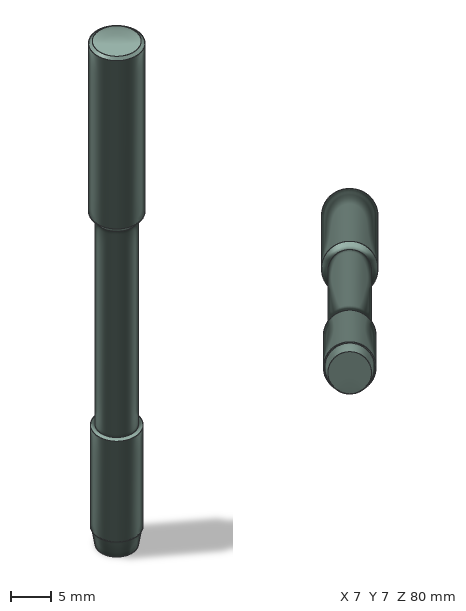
import cadquery as cq

length = 80.0
bottom_z = -length / 2
top_z = length / 2

grip_radius = 3.5
grip_length = 27.1
top_bevel_width = 0.5
top_bevel_height = 0.3
shoulder_height = 1.0
stem_radius = 2.7

collar_radius = 3.3
collar_top_height = 18.9
collar_bevel_height = 0.2
nose_height = 2.8
nose_start_radius = 3.1
nose_end_radius = 2.7
nose_bulge = 0.05

collar_top_z = bottom_z + collar_top_height
tip_top_z = collar_top_z + collar_bevel_height
grip_bottom_z = top_z - grip_length


def make_handle():
    """Grip, conical shoulder and stem, revolved about Z."""
    return (
        cq.Workplane("XZ")
        .moveTo(0, tip_top_z)
        .lineTo(stem_radius, tip_top_z)
        .lineTo(stem_radius, grip_bottom_z - shoulder_height)
        .lineTo(grip_radius, grip_bottom_z)
        .lineTo(grip_radius, top_z - top_bevel_height)
        .lineTo(grip_radius - top_bevel_width, top_z)
        .lineTo(0, top_z)
        .close()
        .revolve(360, (0, 0), (0, 1))
    )


def make_tip():
    """Bevelled collar and slightly convex nose, revolved about Z; its flat top meets the stem."""
    nose_middle_radius = (nose_start_radius + nose_end_radius) / 2 + nose_bulge
    return (
        cq.Workplane("XZ")
        .moveTo(0, bottom_z)
        .lineTo(nose_end_radius, bottom_z)
        .threePointArc(
            (nose_middle_radius, bottom_z + nose_height / 2),
            (nose_start_radius, bottom_z + nose_height),
        )
        .lineTo(collar_radius, bottom_z + nose_height)
        .lineTo(collar_radius, collar_top_z)
        .lineTo(stem_radius, tip_top_z)
        .lineTo(0, tip_top_z)
        .close()
        .revolve(360, (0, 0), (0, 1))
    )


handle = make_handle()
tip = make_tip()
result = cq.Compound.makeCompound([handle.val(), tip.val()])